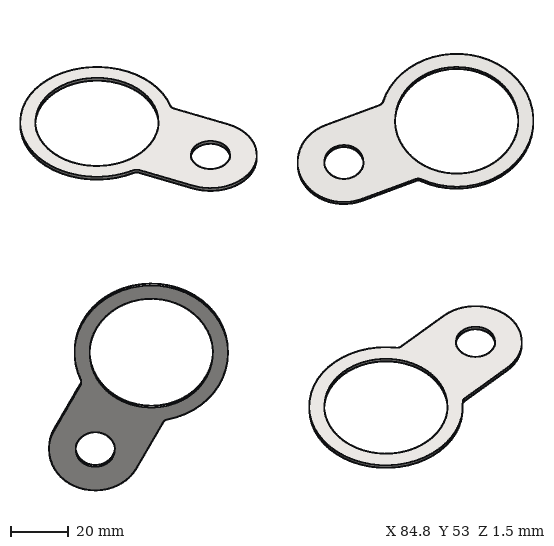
import cadquery as cq
import math

thickness = 1.5
ring_outer_diameter = 53.0
ring_hole_diameter = 42.5
tab_width = 32.0
tab_hole_diameter = 13.5
overall_length = 84.8
neck_fillet_radius = 2.0

ring_radius = ring_outer_diameter / 2
tab_radius = tab_width / 2
tab_centre_x = overall_length - ring_radius - tab_radius
selection_margin = 0.1


def disc(diameter, centre_x):
    """Full-thickness disc standing on Z = 0, centred on the X axis."""
    return cq.Workplane("XY").center(centre_x, 0).circle(diameter / 2).extrude(thickness)


def tab():
    """Straight-sided tab running from the ring centre to a full-round end."""
    straight = cq.Workplane("XY").rect(tab_centre_x, tab_width).extrude(thickness)
    straight = straight.translate((tab_centre_x / 2, 0, 0))
    return straight.union(disc(tab_width, tab_centre_x))


def outer_plate():
    """Ring disc and tab joined, with the two inner corners of the neck rounded."""
    joined = disc(ring_outer_diameter, 0).union(tab())
    neck_x = math.sqrt(ring_radius**2 - tab_radius**2)
    neck_edges = joined.edges("|Z").edges(cq.selectors.BoxSelector(
        (neck_x - selection_margin, -ring_radius, 0),
        (neck_x + selection_margin, ring_radius, thickness),
    ))
    return neck_edges.fillet(neck_fillet_radius)


plate = outer_plate()
plate = plate.cut(disc(ring_hole_diameter, 0))
result = plate.cut(disc(tab_hole_diameter, tab_centre_x))